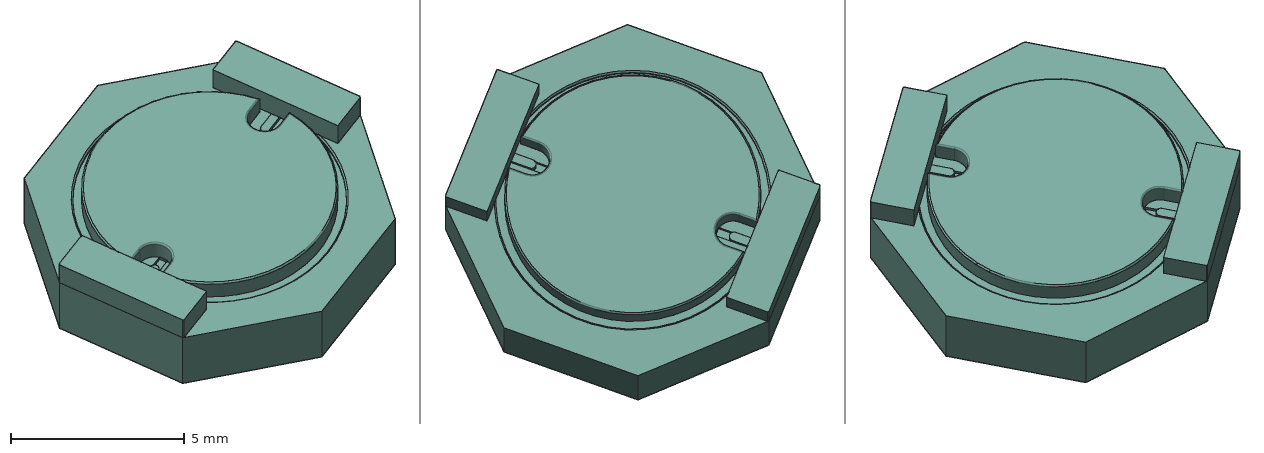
import cadquery as cq
import math

side_count = 8
width = 10.0
body_height = 2.0

groove_radius = 3.95
groove_depth = 0.1
groove_chamfer = 0.05
groove_floor = body_height - groove_depth

disc_radius = 3.7
disc_top = 2.5
disc_fillet = 0.05

notch_radius = 0.5
notch_center_y = 3.1

total_height = 2.78
terminal_width = 4.2
terminal_depth = 1.3
terminal_inner_y = width / 2 - terminal_depth

lead_width = 0.27
lead_end_center_y = 3.13
lead_root_length = 0.2
lead_outer_y = terminal_inner_y + lead_root_length
channel_depth = 0.1
channel_floor = groove_floor - channel_depth
channel_inner_y = notch_center_y - notch_radius


def octagon_prism(height):
    """Regular octagon standing on Z = 0, with flats facing X and Y."""
    corner_diameter = width / math.cos(math.pi / side_count)
    octagon = cq.Workplane("XY").polygon(side_count, corner_diameter).extrude(height)
    return octagon.rotate((0, 0, 0), (0, 0, 1), 180 / side_count)


def cylinder(radius, bottom, top):
    """Upright cylinder on the Z axis."""
    return cq.Workplane("XY", origin=(0, 0, bottom)).circle(radius).extrude(top - bottom)


def round_ended_strip(strip_width, end_center_y, outer_y, bottom, top):
    """Strip along Y whose inner end, toward the centre, is a half circle."""
    half = strip_width / 2
    return (
        cq.Workplane("XY", origin=(0, 0, bottom))
        .moveTo(-half, outer_y)
        .lineTo(-half, end_center_y)
        .threePointArc((0, end_center_y - half), (half, end_center_y))
        .lineTo(half, outer_y)
        .close()
        .extrude(top - bottom)
    )


def square_strip(strip_width, inner_y, outer_y, bottom, top):
    """Square-ended strip along Y, centred on X = 0."""
    strip = cq.Workplane("XY", origin=(0, inner_y, bottom))
    return strip.box(strip_width, outer_y - inner_y, top - bottom, centered=(True, False, False))


def on_both_sides(shape):
    """The shape on the +Y side and its half-turn copy on the -Y side."""
    return [shape.rotate((0, 0, 0), (0, 0, 1), angle) for angle in (0, 180)]


def make_disc():
    """Raised disc with two rim notches and a rounded top edge."""
    disc = cylinder(disc_radius, groove_floor, disc_top)
    notch = round_ended_strip(2 * notch_radius, notch_center_y, width / 2, groove_floor, disc_top)
    for cutter in on_both_sides(notch):
        disc = disc.cut(cutter)
    return disc.faces(">Z").edges().fillet(disc_fillet)


def make_body():
    """Octagon with the chamfered ring groove, the raised disc and the lead channels."""
    octagon = octagon_prism(body_height).cut(cylinder(groove_radius, groove_floor, body_height))
    octagon = octagon.edges("%CIRCLE and >Z").chamfer(groove_chamfer)
    body = octagon.union(make_disc())
    channel = square_strip(lead_width, channel_inner_y, lead_outer_y, channel_floor, groove_floor)
    for cutter in on_both_sides(channel):
        body = body.cut(cutter)
    return body


def make_terminal():
    """Block trimmed to the octagon's outline, with a lead under it that reaches into the notch."""
    block = square_strip(terminal_width, terminal_inner_y, width / 2, body_height, total_height)
    block = block.intersect(octagon_prism(total_height))
    lead = round_ended_strip(lead_width, lead_end_center_y, lead_outer_y, channel_floor, body_height)
    return block.union(lead)


body = make_body()
terminals = on_both_sides(make_terminal())

result = cq.Compound.makeCompound(
    [body.solids().val(), *[terminal.solids().val() for terminal in terminals]]
)